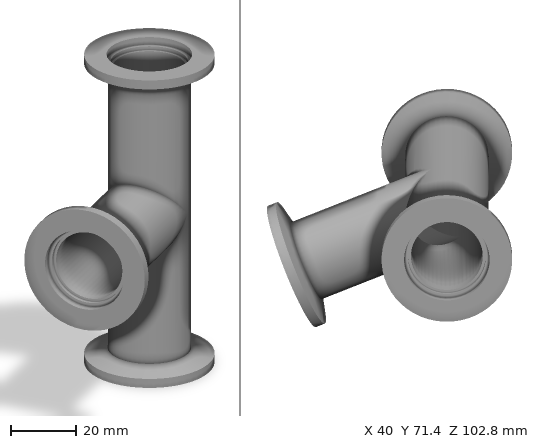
import cadquery as cq
import math


TUBE_OUTER_RADIUS = 25.4 / 2
TUBE_BORE_RADIUS = 22.0 / 2

FACE_DISTANCE = 51.4
FLANGE_RADIUS = 40.0 / 2
RIM_THICKNESS = 3.0
CLAMP_ANGLE = 15.0
SOCKET_RADIUS = 25.7 / 2
RECESS_RADIUS = 26.2 / 2
RECESS_DEPTH = 2.5
LIP_RADIUS = 23.75 / 2
LIP_THICKNESS = 1.25

LIP_BACK = RECESS_DEPTH + LIP_THICKNESS
CONE_HEIGHT = (FLANGE_RADIUS - SOCKET_RADIUS) * math.tan(math.radians(CLAMP_ANGLE))
FLANGE_THICKNESS = RIM_THICKNESS + CONE_HEIGHT
TUBE_REACH = FACE_DISTANCE - LIP_BACK

UP = (0, 0, 1)
DOWN = (0, 0, -1)
BRANCH = (0, -1, 0)


def outward_plane(direction, distance=0.0):
    """Plane facing along direction, at a distance from the tee centre."""
    origin = tuple(distance * component for component in direction)
    return cq.Plane(origin=origin, xDir=(1, 0, 0), normal=direction)


def rod(radius, direction, length):
    """Solid cylinder from the tee centre along direction."""
    return cq.Workplane(outward_plane(direction)).circle(radius).extrude(length)


def make_main_tube():
    """Straight tube with a side opening into the branch."""
    tube = (
        cq.Workplane(outward_plane(DOWN, TUBE_REACH))
        .circle(TUBE_OUTER_RADIUS)
        .circle(TUBE_BORE_RADIUS)
        .extrude(-2 * TUBE_REACH)
    )
    return tube.cut(rod(TUBE_BORE_RADIUS, BRANCH, TUBE_REACH))


def make_branch_tube():
    """Side tube with its inner end coped to fit the main tube."""
    bore = rod(TUBE_BORE_RADIUS, BRANCH, TUBE_REACH)
    tube = rod(TUBE_OUTER_RADIUS, BRANCH, TUBE_REACH).cut(bore)
    main_envelope = cq.Workplane("XY").circle(TUBE_OUTER_RADIUS).extrude(TUBE_REACH, both=True)
    return tube.cut(main_envelope)


def make_flange(direction):
    """Flange with a ring recess, a lip and a rear tube socket."""
    section = [
        (RECESS_RADIUS, 0),
        (FLANGE_RADIUS, 0),
        (FLANGE_RADIUS, -RIM_THICKNESS),
        (SOCKET_RADIUS, -FLANGE_THICKNESS),
        (SOCKET_RADIUS, -LIP_BACK),
        (LIP_RADIUS, -LIP_BACK),
        (LIP_RADIUS, -RECESS_DEPTH),
        (RECESS_RADIUS, -RECESS_DEPTH),
    ]
    sideways = (1, 0, 0)
    normal = cq.Vector(*sideways).cross(cq.Vector(*direction)).toTuple()
    face_centre = outward_plane(direction, FACE_DISTANCE).origin
    profile_plane = cq.Plane(origin=face_centre, xDir=sideways, normal=normal)
    return cq.Workplane(profile_plane).polyline(section).close().revolve(360, (0, 0), (0, 1))


main_tube = make_main_tube()
branch_tube = make_branch_tube()
flanges = [make_flange(direction) for direction in (UP, DOWN, BRANCH)]

result = cq.Compound.makeCompound(
    [main_tube.val(), branch_tube.val(), *[flange.val() for flange in flanges]]
)